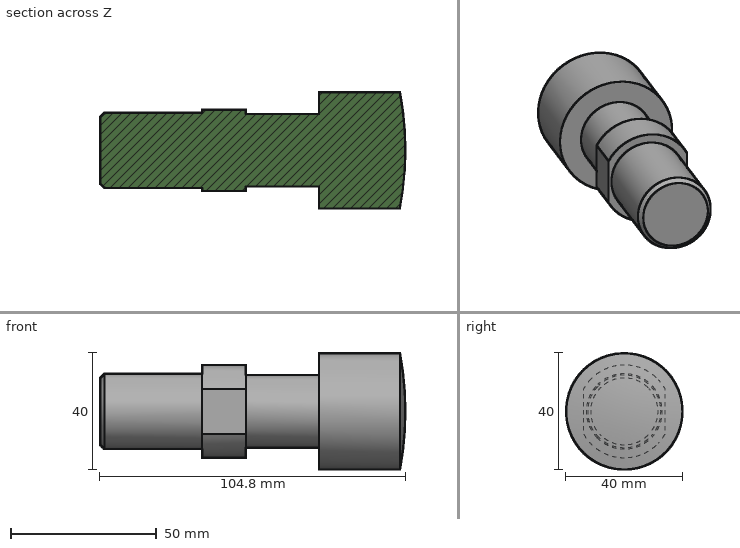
import cadquery as cq

total_length = 104.8
shank_length = 35.0
shank_diameter = 26.0
shank_chamfer = 1.5
collar_length = 15.0
collar_diameter = 32.0
collar_across_flats = 28.0
neck_length = 25.0
neck_diameter = 25.0
head_diameter = 40.0
dome_height = 1.9

collar_start = shank_length
neck_start = collar_start + collar_length
head_start = neck_start + neck_length
dome_start = total_length - dome_height


def cylinder(start, length, diameter):
    """Solid cylinder along +X, beginning at the given station."""
    return cq.Workplane("YZ", origin=(start, 0, 0)).circle(diameter / 2).extrude(length)


def make_shank():
    shank = cylinder(0, shank_length, shank_diameter)
    return shank.faces("<X").chamfer(shank_chamfer)


def make_collar():
    """Round collar with two wrench flats facing -Y and +Y."""
    collar = cylinder(collar_start, collar_length, collar_diameter)
    flats = cq.Workplane("YZ", origin=(collar_start, 0, 0))
    flats = flats.rect(collar_across_flats, collar_diameter).extrude(collar_length)
    return collar.intersect(flats)


def make_head():
    """Cylindrical head with a shallow spherical end."""
    radius = head_diameter / 2
    sphere_radius = (radius**2 + dome_height**2) / (2 * dome_height)
    sphere_center = total_length - sphere_radius
    quarter_chord = radius / 2
    arc_middle = sphere_center + (sphere_radius**2 - quarter_chord**2) ** 0.5
    profile = (
        cq.Workplane("XY")
        .moveTo(head_start, 0)
        .lineTo(head_start, radius)
        .lineTo(dome_start, radius)
        .threePointArc((arc_middle, quarter_chord), (total_length, 0))
        .close()
    )
    return profile.revolve(360, (0, 0, 0), (1, 0, 0))


neck = cylinder(neck_start, neck_length, neck_diameter)
result = make_shank().union(make_collar()).union(neck).union(make_head())